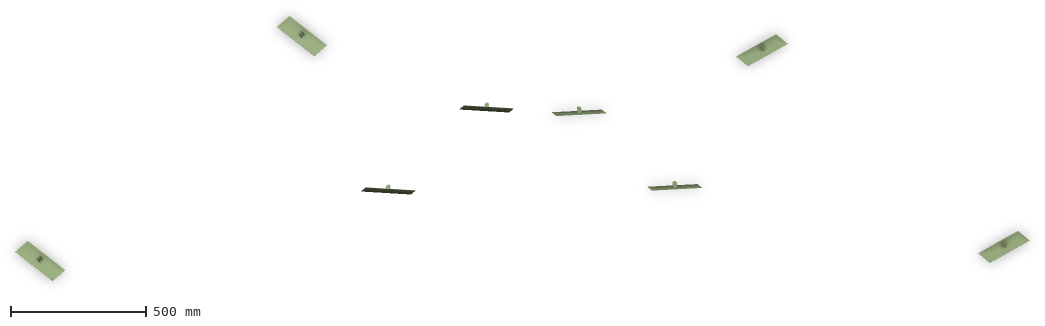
import cadquery as cq

overall_length = 1468.0
overall_height = 23.0

plate_length = 191.0
plate_width = 68.0
plate_thickness = 1.0
mount_hole_diameter = 2.2
mount_hole_inset = 3.7

lug_width = 15.0
lug_thickness = 1.0
lug_gap = 10.0
pin_hole_diameter = 5.0

bracket_offset = (overall_length - plate_width) / 2
lug_offset = (lug_gap + lug_thickness) / 2
lug_radius = lug_width / 2
pin_hole_z = overall_height - lug_radius


def make_plate():
    """Flat plate on Z = 0 with a through hole near each corner."""
    plate = cq.Workplane("XY").box(
        plate_length, plate_width, plate_thickness, centered=(True, True, False)
    )
    return (
        plate.faces(">Z")
        .workplane()
        .rect(
            plate_length - 2 * mount_hole_inset,
            plate_width - 2 * mount_hole_inset,
            forConstruction=True,
        )
        .vertices()
        .hole(mount_hole_diameter)
    )


def make_lug(y_center):
    """Round-topped lug rising from the plate, with a pin hole along Y."""
    back_face = y_center + lug_thickness / 2
    return (
        cq.Workplane("XZ", origin=(0, back_face, 0))
        .moveTo(-lug_radius, 0)
        .lineTo(-lug_radius, pin_hole_z)
        .threePointArc((0, overall_height), (lug_radius, pin_hole_z))
        .lineTo(lug_radius, 0)
        .close()
        .moveTo(0, pin_hole_z)
        .circle(pin_hole_diameter / 2)
        .extrude(lug_thickness)
    )


def make_bracket(y_center):
    """One plate with its two lugs as a single solid, centred at y_center."""
    bracket = make_plate()
    for side in (-1, 1):
        bracket = bracket.union(make_lug(side * lug_offset))
    return bracket.translate((0, y_center, 0))


brackets = [make_bracket(side * bracket_offset) for side in (-1, 1)]

result = cq.Compound.makeCompound([bracket.val() for bracket in brackets])